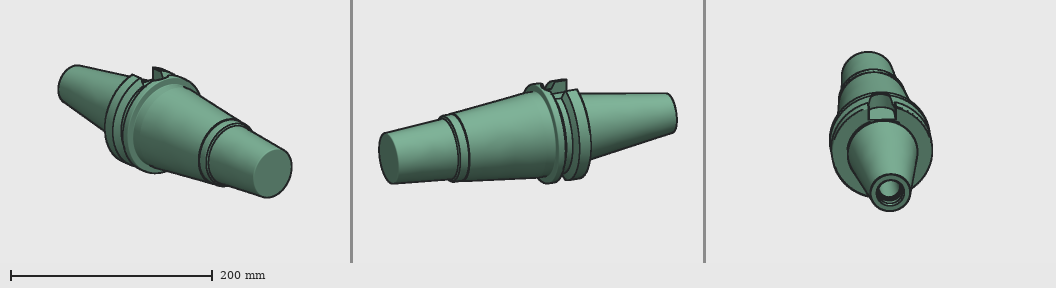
import cadquery as cq
import math

LENGTH = 301.8
FLANGE_RADIUS = 49.95

TAPER_LENGTH = 101.7
TAPER_RATIO = 7 / 24
TAPER_SMALL_RADIUS = 20.07
TAPER_LARGE_RADIUS = TAPER_SMALL_RADIUS + TAPER_LENGTH * TAPER_RATIO / 2
SMALL_END_CHAMFER = 0.5

NECK_RADIUS = 34.5
NECK_START = 102.3
NECK_ROOT_FILLET = 1.0

FLANGE_START = 104.7
FLANGE_END = 139.7
FLANGE_FILLET = 1.0
GROOVE_RADIUS = 42.5
GROOVE_FLOOR_START = 121.5
GROOVE_FLOOR_END = 128.3
GROOVE_SIDE_ANGLE = 30.0
GROOVE_SIDE_RUN = (FLANGE_RADIUS - GROOVE_RADIUS) * math.tan(math.radians(GROOVE_SIDE_ANGLE))

BODY_RADIUS = 42.5
BODY_ROOT_FILLET = 0.5
BODY_CONE_START = 149.7
BODY_CONE_END = 228.8
BODY_CONE_END_RADIUS = 34.0

COLLAR_RADIUS = 33.5
COLLAR_STEP = 0.5
COLLAR_END = 238.0
COLLAR_FILLET = 1.2
NOSE_START = 239.5
NOSE_START_RADIUS = 30.5
NOSE_END_RADIUS = 25.7
NOSE_FILLET = 1.2

SLOT_HALF_WIDTH = 13.0
SLOT_END = 136.0
SLOT_FLOOR = 35.0
SLOT_EDGE_CHAMFER = 1.0

MOUTH_RADIUS = 14.0
MOUTH_CONE_DEPTH = 2.5
ENTRY_RADIUS = 12.5
ENTRY_DEPTH = 9.5
RELIEF_RADIUS = 11.8
THREAD_START = 13.3
THREAD_RADIUS = 10.5
THREAD_DEPTH = 60.5
DRILL_TIP_HALF_ANGLE = 60.0


def holder_body():
    outline = (
        cq.Workplane("XY")
        .polyline([
            (0, 0),
            (0, TAPER_SMALL_RADIUS - SMALL_END_CHAMFER),
            (SMALL_END_CHAMFER, TAPER_SMALL_RADIUS),
            (TAPER_LENGTH, TAPER_LARGE_RADIUS),
            (NECK_START, NECK_RADIUS),
            (FLANGE_START - NECK_ROOT_FILLET, NECK_RADIUS),
        ])
        .radiusArc((FLANGE_START, NECK_RADIUS + NECK_ROOT_FILLET), -NECK_ROOT_FILLET)
        .lineTo(FLANGE_START, FLANGE_RADIUS - FLANGE_FILLET)
        .radiusArc((FLANGE_START + FLANGE_FILLET, FLANGE_RADIUS), FLANGE_FILLET)
        .lineTo(GROOVE_FLOOR_START - GROOVE_SIDE_RUN, FLANGE_RADIUS)
        .lineTo(GROOVE_FLOOR_START, GROOVE_RADIUS)
        .lineTo(GROOVE_FLOOR_END, GROOVE_RADIUS)
        .lineTo(GROOVE_FLOOR_END + GROOVE_SIDE_RUN, FLANGE_RADIUS)
        .lineTo(FLANGE_END - FLANGE_FILLET, FLANGE_RADIUS)
        .radiusArc((FLANGE_END, FLANGE_RADIUS - FLANGE_FILLET), FLANGE_FILLET)
        .lineTo(FLANGE_END, BODY_RADIUS + BODY_ROOT_FILLET)
        .radiusArc((FLANGE_END + BODY_ROOT_FILLET, BODY_RADIUS), -BODY_ROOT_FILLET)
        .lineTo(BODY_CONE_START, BODY_RADIUS)
        .lineTo(BODY_CONE_END, BODY_CONE_END_RADIUS)
        .lineTo(BODY_CONE_END + COLLAR_STEP, COLLAR_RADIUS)
        .lineTo(COLLAR_END - COLLAR_FILLET, COLLAR_RADIUS)
        .radiusArc((COLLAR_END, COLLAR_RADIUS - COLLAR_FILLET), COLLAR_FILLET)
        .lineTo(NOSE_START, NOSE_START_RADIUS)
        .lineTo(LENGTH - NOSE_FILLET, NOSE_END_RADIUS)
        .radiusArc((LENGTH, NOSE_END_RADIUS - NOSE_FILLET), NOSE_FILLET)
        .lineTo(LENGTH, 0)
        .close()
    )
    return outline.revolve(360, (0, 0, 0), (1, 0, 0))


def drive_slot():
    mouth_half_width = SLOT_HALF_WIDTH + SLOT_EDGE_CHAMFER
    arc_center = SLOT_END - SLOT_HALF_WIDTH
    return (
        cq.Workplane("XY", origin=(0, 0, SLOT_FLOOR))
        .moveTo(NECK_START, -mouth_half_width)
        .lineTo(FLANGE_START, -mouth_half_width)
        .lineTo(FLANGE_START + SLOT_EDGE_CHAMFER, -SLOT_HALF_WIDTH)
        .lineTo(arc_center, -SLOT_HALF_WIDTH)
        .threePointArc((SLOT_END, 0), (arc_center, SLOT_HALF_WIDTH))
        .lineTo(FLANGE_START + SLOT_EDGE_CHAMFER, SLOT_HALF_WIDTH)
        .lineTo(FLANGE_START, mouth_half_width)
        .lineTo(NECK_START, mouth_half_width)
        .close()
        .extrude(FLANGE_RADIUS)
    )


def bore():
    tip = THREAD_DEPTH + THREAD_RADIUS / math.tan(math.radians(DRILL_TIP_HALF_ANGLE))
    outline = [
        (0, 0),
        (0, MOUTH_RADIUS),
        (MOUTH_CONE_DEPTH, ENTRY_RADIUS),
        (ENTRY_DEPTH, ENTRY_RADIUS),
        (ENTRY_DEPTH, RELIEF_RADIUS),
        (THREAD_START, RELIEF_RADIUS),
        (THREAD_START + RELIEF_RADIUS - THREAD_RADIUS, THREAD_RADIUS),
        (THREAD_DEPTH, THREAD_RADIUS),
        (tip, 0),
    ]
    return cq.Workplane("XY").polyline(outline).close().revolve(360, (0, 0, 0), (1, 0, 0))


def slot_rim_box(side):
    """Box around the slot edges on the flange rim; side is 1 for +Z, -1 for -Z."""
    reach = SLOT_HALF_WIDTH + SLOT_EDGE_CHAMFER
    rim_bottom = math.sqrt(FLANGE_RADIUS**2 - reach**2)
    return cq.selectors.BoxSelector(
        (FLANGE_START, -reach, side * rim_bottom),
        (FLANGE_END - FLANGE_FILLET, reach, side * (FLANGE_RADIUS + SLOT_EDGE_CHAMFER)),
    )


slot = drive_slot()
result = holder_body().cut(slot).cut(slot.mirror("XY"))
for side in (1, -1):
    result = result.edges(slot_rim_box(side)).chamfer(SLOT_EDGE_CHAMFER)
result = result.cut(bore())